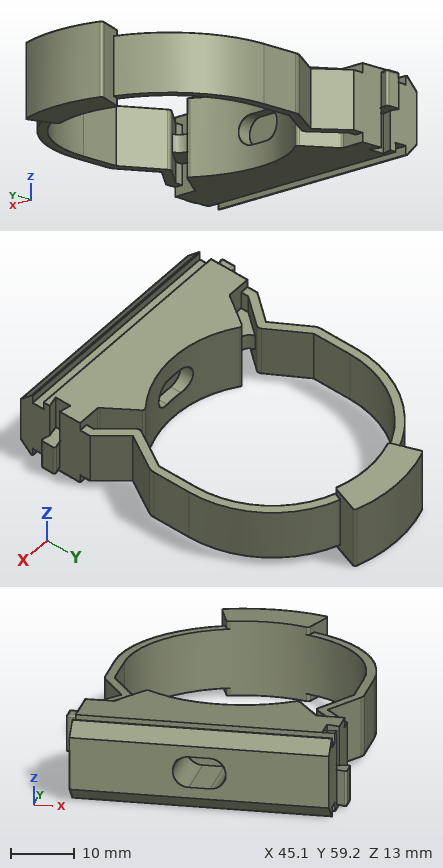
import cadquery as cq
import math

half_width = 20.85
band_thickness = 1.6
band_height = 9.9
bend_y = -7.75
bend_radius = 2.35
waist_half_width = 16.55
waist_y = -14.8
waist_radius = 0.9
shoulder_y = -20.0

tab_height = 12.4
tab_outer_radius = 25.1
tab_half_angle = math.radians(20)
corner_radius = 0.5

base_height = 13.0
base_front_y = -34.1
base_step_y = -22.0
saddle_radius = 20.0
saddle_tip_x = 12.15
saddle_root_x = 16.35
nose_chamfer = 2.2
rail_back_y = -29.4
rail_front_y = -31.65
rail_depth = 1.5
slot_length = 8.5
slot_height = 5.1

web_thickness = 2.95
web_relief_x = 13.85
web_relief_y = -16.0
web_relief_radius = 1.95

dovetail_y = -27.15
dovetail_neck = 2.1
dovetail_wide = 2.95
groove_depth = 2.1
key_length = 1.7
key_height = 6.0
key_rounding = 0.35
key_root = 0.6

bore_radius = half_width - band_thickness
half_base = base_height / 2
band_end_y = base_step_y - band_thickness


def slab(outline, height):
    """Extrude a closed XY outline symmetrically about the mid plane."""
    return outline.extrude(height / 2, both=True)


def polar(radius, angle):
    """Point at an angle measured from +Y toward +X."""
    return (radius * math.sin(angle), radius * math.cos(angle))


def mirrored_at(half_span, y):
    """Selector for the two mirrored vertical edges at +/- half_span and y."""
    reach = 0.3
    boxes = [
        cq.selectors.BoxSelector(
            (side * half_span - reach, y - reach, -base_height),
            (side * half_span + reach, y + reach, base_height),
        )
        for side in (-1, 1)
    ]
    return boxes[0] + boxes[1]


def band_outline():
    return (
        cq.Workplane("XY")
        .moveTo(half_width, 0)
        .threePointArc((0, half_width), (-half_width, 0))
        .lineTo(-half_width, bend_y)
        .lineTo(-waist_half_width, waist_y)
        .lineTo(-half_width, shoulder_y)
        .lineTo(-half_width, band_end_y)
        .lineTo(half_width, band_end_y)
        .lineTo(half_width, shoulder_y)
        .lineTo(waist_half_width, waist_y)
        .lineTo(half_width, bend_y)
        .close()
    )


def inner_waist_corner():
    """Point where the two inner faces of the band meet at the waist on the +X side."""
    inset = half_width - waist_half_width
    upper_slope = math.atan2(bend_y - waist_y, inset)
    lower_slope = math.atan2(waist_y - shoulder_y, inset)
    half_opening = (upper_slope + lower_slope) / 2
    tilt = (upper_slope - lower_slope) / 2
    miter = band_thickness / math.sin(half_opening)
    return (waist_half_width - miter * math.cos(tilt), waist_y - miter * math.sin(tilt))


def make_band():
    """Omega-shaped spring band of constant thickness."""
    outside = slab(band_outline(), band_height)
    outside = outside.edges("|Z").edges(mirrored_at(half_width, bend_y)).fillet(bend_radius)
    inside = slab(band_outline().offset2D(-band_thickness, "intersection"), band_height)
    inside = inside.edges("|Z").edges(mirrored_at(*inner_waist_corner())).fillet(waist_radius)
    return outside.cut(inside)


def make_tab():
    """Thick sector on the crown of the band."""
    outline = (
        cq.Workplane("XY")
        .moveTo(*polar(bore_radius, -tab_half_angle))
        .lineTo(*polar(tab_outer_radius, -tab_half_angle))
        .threePointArc((0, tab_outer_radius), polar(tab_outer_radius, tab_half_angle))
        .lineTo(*polar(bore_radius, tab_half_angle))
        .threePointArc((0, bore_radius), polar(bore_radius, -tab_half_angle))
        .close()
    )
    return slab(outline, tab_height).edges("|Z").fillet(corner_radius)


def make_base():
    """Base block with a saddle, a bevelled nose, two rail grooves and a through slot."""
    tip_y = -math.sqrt(saddle_radius**2 - saddle_tip_x**2)
    outline = (
        cq.Workplane("XY")
        .moveTo(-half_width, base_front_y)
        .lineTo(-half_width, base_step_y)
        .lineTo(-saddle_root_x, base_step_y)
        .lineTo(-saddle_tip_x, tip_y)
        .threePointArc((0, -saddle_radius), (saddle_tip_x, tip_y))
        .lineTo(saddle_root_x, base_step_y)
        .lineTo(half_width, base_step_y)
        .lineTo(half_width, base_front_y)
        .close()
    )
    base = slab(outline, base_height)
    base = base.edges("|Z").edges(mirrored_at(saddle_tip_x, tip_y)).fillet(corner_radius)
    base = base.edges("|Z").edges(mirrored_at(saddle_root_x, base_step_y)).fillet(corner_radius)
    base = base.faces("<Y").edges("|X").chamfer(nose_chamfer)

    rail_width = rail_back_y - rail_front_y
    rail_y = (rail_back_y + rail_front_y) / 2
    for side in (-1, 1):
        rail = cq.Workplane("XY").box(2 * half_width, rail_width, 2 * rail_depth)
        base = base.cut(rail.translate((0, rail_y, side * half_base)))

    slot = (
        cq.Workplane("XZ", origin=(0, base_front_y, 0))
        .slot2D(slot_length, slot_height)
        .extrude(base_front_y)
    )
    return base.cut(slot)


def make_web(side):
    """Thin web joining the band to the saddle flank, relieved by a round notch."""
    web = slab(
        cq.Workplane("XY").polyline([
            (side * saddle_tip_x, base_step_y),
            (side * (half_width - band_thickness / 2), base_step_y),
            (side * (half_width - band_thickness / 2), shoulder_y),
            (side * waist_half_width, waist_y - band_thickness / 2),
            (side * web_relief_x, web_relief_y),
        ]).close(),
        web_thickness,
    )
    notch = cq.Workplane("XY").center(side * web_relief_x, web_relief_y).circle(web_relief_radius)
    return web.cut(slab(notch, web_thickness))


def dovetail(inner_x, inner_width, outer_x, outer_width):
    return cq.Workplane("XY").polyline([
        (inner_x, dovetail_y - inner_width / 2),
        (outer_x, dovetail_y - outer_width / 2),
        (outer_x, dovetail_y + outer_width / 2),
        (inner_x, dovetail_y + inner_width / 2),
    ]).close()


def make_groove():
    """Dovetail groove in the upper half of the +X side."""
    return dovetail(half_width - groove_depth, dovetail_wide, half_width, dovetail_neck).extrude(half_base)


def make_key():
    """Dovetail key on the lower half of the +X side."""
    flare = (dovetail_wide - dovetail_neck) / key_length
    root_width = dovetail_neck - flare * key_root
    outline = dovetail(half_width - key_root, root_width, half_width + key_length, dovetail_wide)
    key = outline.extrude(-key_height)
    outer_corners = key.faces(">X").edges("|Z")
    return outer_corners.add(key.faces("<Z").edges()).fillet(key_rounding)


def opposite(body):
    """Half turn about Y: moves a +X side feature to the -X side and flips it in Z."""
    return body.rotate((0, 0, 0), (0, 1, 0), 180)


groove = make_groove()
key = make_key()
base = make_base().cut(groove).cut(opposite(groove))
result = base.union(make_band()).union(make_tab())
for side in (-1, 1):
    result = result.union(make_web(side))
result = result.union(key).union(opposite(key))